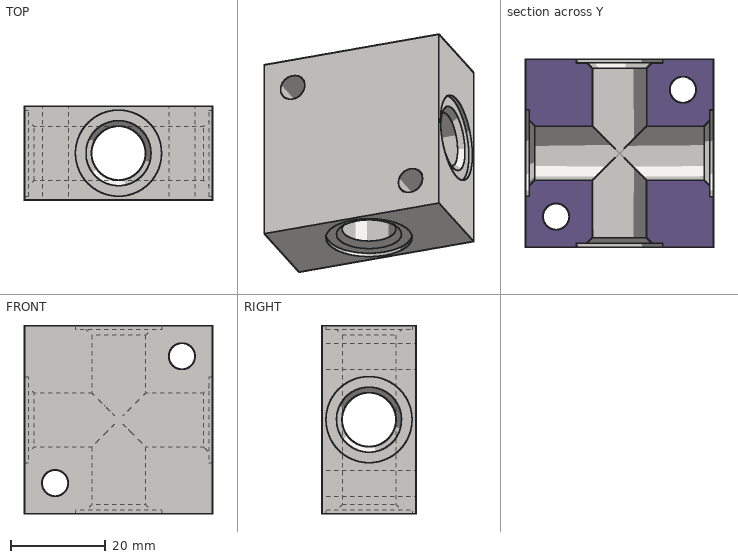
import cadquery as cq

side = 40.0
thickness = 20.0

bore_diameter = 11.45
countersink_diameter = 13.85
countersink_depth = (countersink_diameter - bore_diameter) / 2
spotface_diameter = 18.3
spotface_depth = 0.8

mount_diameter = 5.5
mount_offset = 13.5


def port_cutter():
    """Half a bore along +Z, from the block centre out to the spot face."""
    bore_radius = bore_diameter / 2
    sink_radius = countersink_diameter / 2
    spot_radius = spotface_diameter / 2
    outer_face = side / 2
    spot_floor = outer_face - spotface_depth
    profile = [
        (0, 0),
        (bore_radius, 0),
        (bore_radius, spot_floor - countersink_depth),
        (sink_radius, spot_floor),
        (spot_radius, spot_floor),
        (spot_radius, outer_face),
        (0, outer_face),
    ]
    return cq.Workplane("XZ").polyline(profile).close().revolve(360, (0, 0), (0, 1))


result = cq.Workplane("XY").box(side, thickness, side)

for angle in (0, 90, 180, 270):
    result = result.cut(port_cutter().rotate((0, 0, 0), (0, 1, 0), angle))

mount_holes = (
    cq.Workplane("XZ")
    .pushPoints([(mount_offset, mount_offset), (-mount_offset, -mount_offset)])
    .circle(mount_diameter / 2)
    .extrude(thickness / 2, both=True)
)
result = result.cut(mount_holes)